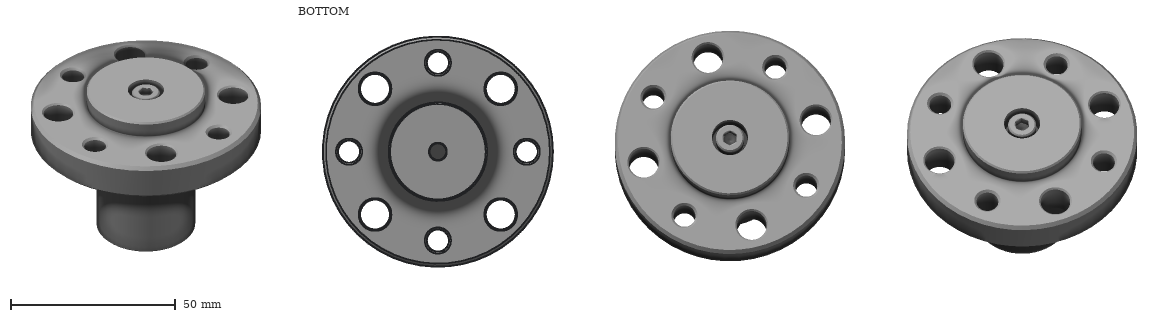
import cadquery as cq
import math

overall_height = 49.6
stub_diameter = 30.0
flange_diameter = 70.0
flange_thickness = 11.0
boss_diameter = 36.0
boss_height = 5.0
flange_bottom = overall_height - boss_height - flange_thickness
flange_top = flange_bottom + flange_thickness
flange_chamfer = 1.0
boss_chamfer = 0.5
stub_chamfer = 0.5
flange_root_fillet = 0.2

bolt_circle_radius = 27.0
holes_per_set = 4
clearance_hole_diameter = 9.0
clearance_hole_mouth = 10.0
clearance_hole_start_angle = 45.0
tapped_hole_diameter = 6.65
tapped_hole_mouth = 8.0
tapped_hole_start_angle = 0.0

screw_diameter = 5.0
screw_length = 16.0
screw_hole_diameter = 5.5
head_diameter = 8.5
head_height = 5.0
head_chamfer = 0.45
head_depth = 0.6
socket_width = 4.0
socket_turn = 30.0
socket_depth = 2.5
socket_tip_depth = socket_width / 2 * math.tan(math.pi / 6)
socket_lead_in = 0.2
washer_diameter = 9.2
washer_thickness = 1.2
counterbore_diameter = 11.0
head_top = overall_height - head_depth
head_seat = head_top - head_height
counterbore_floor = head_seat - washer_thickness
screw_end = head_seat - screw_length


def cylinder(diameter, bottom, top):
    return cq.Workplane("XY").workplane(offset=bottom).circle(diameter / 2).extrude(top - bottom)


def cone(bottom_diameter, top_diameter, bottom, top):
    solid = cq.Solid.makeCone(
        bottom_diameter / 2, top_diameter / 2, top - bottom, pnt=cq.Vector(0, 0, bottom)
    )
    return cq.Workplane(obj=solid)


def root_circle(diameter, height):
    """Selector for the circle where a round shoulder meets a flange face."""
    size = diameter + 2 * flange_root_fillet
    margin = flange_root_fillet / 2
    return cq.selectors.BoxSelector(
        (-size / 2, -size / 2, height - margin), (size / 2, size / 2, height + margin), boundingbox=True
    )


def flange_hole_cutter(diameter, mouth_diameter):
    """Through hole with a 45 degree chamfer at both flange faces."""
    chamfer = (mouth_diameter - diameter) / 2
    bore = cylinder(diameter, flange_bottom, flange_top)
    top_mouth = cone(diameter, mouth_diameter, flange_top - chamfer, flange_top)
    bottom_mouth = cone(mouth_diameter, diameter, flange_bottom, flange_bottom + chamfer)
    return bore.union(top_mouth).union(bottom_mouth)


def make_hub():
    stub = cylinder(stub_diameter, 0, flange_bottom).faces("<Z").chamfer(stub_chamfer)
    flange = cylinder(flange_diameter, flange_bottom, flange_top).edges().chamfer(flange_chamfer)
    boss = cylinder(boss_diameter, flange_top, overall_height).faces(">Z").chamfer(boss_chamfer)
    hub = stub.union(flange).union(boss)
    hub = hub.edges(root_circle(stub_diameter, flange_bottom)).fillet(flange_root_fillet)
    hub = hub.edges(root_circle(boss_diameter, flange_top)).fillet(flange_root_fillet)

    hole_sets = [
        (clearance_hole_diameter, clearance_hole_mouth, clearance_hole_start_angle),
        (tapped_hole_diameter, tapped_hole_mouth, tapped_hole_start_angle),
    ]
    for diameter, mouth_diameter, start_angle in hole_sets:
        cutter = flange_hole_cutter(diameter, mouth_diameter)
        for index in range(holes_per_set):
            angle = math.radians(start_angle + index * 360.0 / holes_per_set)
            x = bolt_circle_radius * math.cos(angle)
            y = bolt_circle_radius * math.sin(angle)
            hub = hub.cut(cutter.translate((x, y, 0)))

    hub = hub.cut(cylinder(counterbore_diameter, counterbore_floor, overall_height))
    return hub.cut(cylinder(screw_hole_diameter, 0, counterbore_floor))


def make_washer():
    ring = cylinder(washer_diameter, counterbore_floor, head_seat)
    return ring.cut(cylinder(screw_hole_diameter, counterbore_floor, head_seat))


def make_screw():
    head = cylinder(head_diameter, head_seat, head_top).faces(">Z").chamfer(head_chamfer)
    screw = head.union(cylinder(screw_diameter, screw_end, head_seat))

    corner_diameter = socket_width / math.cos(math.pi / 6)
    socket_floor = head_top - socket_depth
    socket = (
        cq.Workplane("XY")
        .workplane(offset=socket_floor)
        .polygon(6, corner_diameter)
        .extrude(socket_depth)
        .rotate((0, 0, 0), (0, 0, 1), socket_turn)
    )
    tip = cone(0, socket_width, socket_floor - socket_tip_depth, socket_floor)
    lead_in = cone(socket_width, corner_diameter, head_top - socket_lead_in, head_top)
    return screw.cut(socket).cut(tip).cut(lead_in)


hub = make_hub()
washer = make_washer()
screw = make_screw()

result = cq.Compound.makeCompound([hub.val(), washer.val(), screw.val()])